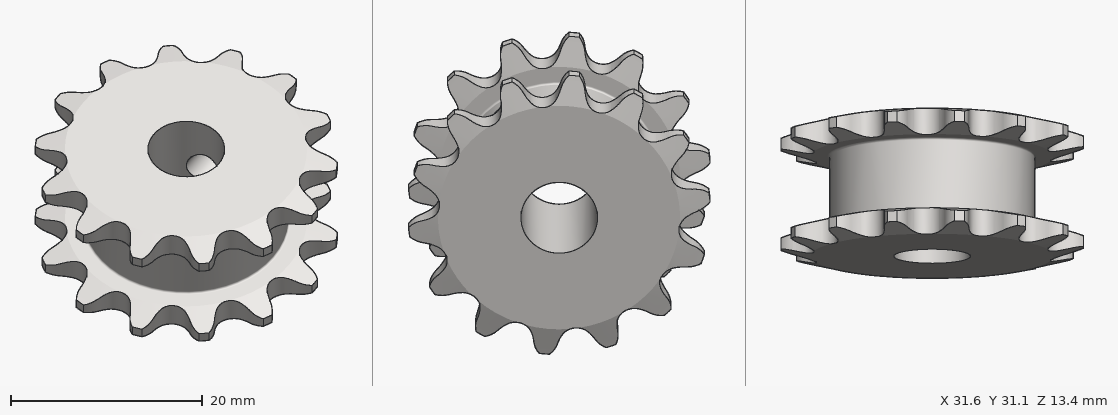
import cadquery as cq
import math

INCH = 25.4
chain_pitch = 0.25 * INCH
roller_diameter = 0.130 * INCH
tooth_count = 14
plate_thickness = 0.110 * INCH
overall_height = 13.38
bore_diameter = 8.0

bevel_width = 0.5 * chain_pitch
bevel_depth = 0.13 * chain_pitch

hub_diameter = 21.43
hub_fillet = 0.22
set_screw_diameter = 4.2

tooth_angle = 360.0 / tooth_count
half_tooth = math.radians(tooth_angle / 2)
pitch_radius = chain_pitch / (2 * math.sin(half_tooth))
tip_radius = chain_pitch * (0.6 + 1 / math.tan(half_tooth)) / 2
face_radius = tip_radius - bevel_width

curve_allowance = 0.0015 * INCH
seat_radius = 0.5025 * roller_diameter + curve_allowance
working_offset = 0.8 * roller_diameter
working_radius = seat_radius + working_offset
topping_offset = 1.4 * roller_diameter
seat_angle = math.radians(35 + 60 / tooth_count)
working_angle = math.radians(18 - 56 / tooth_count)
topping_angle = math.radians(17 - 64 / tooth_count)
flat_length = topping_offset * math.sin(topping_angle) - working_offset * math.sin(working_angle)
topping_radius = (
    working_offset * math.cos(working_angle) + topping_offset * math.cos(topping_angle) - working_radius
)


def step(point, angle, distance):
    """Point reached from a start point along a direction given in radians."""
    return (point[0] + distance * math.cos(angle), point[1] + distance * math.sin(angle))


def mirror(point):
    """Reflection of a point across the Y axis, the centre line of the gap."""
    return (-point[0], point[1])


def tooth_gap():
    """Cutter, as tall as a plate, for the gap centred on +Y; its right side mirrors its left."""
    seat_centre = (0, pitch_radius)
    seat_bottom = (0, pitch_radius - seat_radius)
    seat_end_direction = math.pi + seat_angle
    flat_normal = seat_end_direction - working_angle

    seat_end = step(seat_centre, seat_end_direction, seat_radius)
    working_centre = step(seat_centre, seat_end_direction, -working_offset)
    working_mid = step(working_centre, seat_end_direction - working_angle / 2, working_radius)
    flat_start = step(working_centre, flat_normal, working_radius)
    flat_end = step(flat_start, flat_normal - math.pi / 2, flat_length)

    topping_centre = step(flat_end, flat_normal, topping_radius)
    centre_distance = math.hypot(*topping_centre)
    centre_direction = math.atan2(topping_centre[1], topping_centre[0])
    tip_cosine = (centre_distance**2 + tip_radius**2 - topping_radius**2) / (2 * centre_distance * tip_radius)
    tip_corner = step((0, 0), centre_direction - math.acos(tip_cosine), tip_radius)
    start_direction = flat_normal - math.pi
    end_direction = math.atan2(tip_corner[1] - topping_centre[1], tip_corner[0] - topping_centre[0])
    topping_mid = step(topping_centre, (start_direction + end_direction) / 2, topping_radius)

    clear_of_tip = (tip_corner[0], tip_radius + seat_radius)
    return (
        cq.Workplane("XY")
        .moveTo(*clear_of_tip)
        .lineTo(*tip_corner)
        .threePointArc(topping_mid, flat_end)
        .lineTo(*flat_start)
        .threePointArc(working_mid, seat_end)
        .threePointArc(seat_bottom, mirror(seat_end))
        .threePointArc(mirror(working_mid), mirror(flat_start))
        .lineTo(*mirror(flat_end))
        .threePointArc(mirror(topping_mid), mirror(tip_corner))
        .lineTo(*mirror(clear_of_tip))
        .close()
        .extrude(plate_thickness)
    )


def sprocket_plate():
    """Toothed plate resting on Z = 0, with a tooth on the X axis and both flanks bevelled."""
    plate = (
        cq.Workplane("XZ")
        .polyline([
            (0, 0),
            (face_radius, 0),
            (tip_radius, bevel_depth),
            (tip_radius, plate_thickness - bevel_depth),
            (face_radius, plate_thickness),
            (0, plate_thickness),
        ])
        .close()
        .revolve(360, (0, 0, 0), (0, 1, 0))
    )
    gap = tooth_gap()
    for index in range(tooth_count):
        gap_direction = (index + 0.5) * tooth_angle
        plate = plate.cut(gap.rotate((0, 0, 0), (0, 0, 1), gap_direction - 90))
    return plate


def hub():
    """Round hub joining the plates, flaring out through a small fillet at each plate."""
    hub_radius = hub_diameter / 2
    flare_radius = hub_radius + hub_fillet
    bottom = plate_thickness
    top = overall_height - plate_thickness
    arc_depth = hub_fillet * math.cos(math.pi / 4)
    return (
        cq.Workplane("XZ")
        .moveTo(0, bottom)
        .lineTo(flare_radius, bottom)
        .threePointArc(
            (flare_radius - arc_depth, bottom + hub_fillet - arc_depth), (hub_radius, bottom + hub_fillet)
        )
        .lineTo(hub_radius, top - hub_fillet)
        .threePointArc((flare_radius - arc_depth, top - hub_fillet + arc_depth), (flare_radius, top))
        .lineTo(0, top)
        .close()
        .revolve(360, (0, 0, 0), (0, 1, 0))
    )


def set_screw_hole():
    """Radial hole from the bore out through the +Y side of the hub at mid height."""
    return (
        cq.Workplane("XZ", origin=(0, 0, overall_height / 2))
        .circle(set_screw_diameter / 2)
        .extrude(-hub_diameter)
    )


lower_plate = sprocket_plate()
upper_plate = lower_plate.translate((0, 0, overall_height - plate_thickness))
bore = cq.Workplane("XY").circle(bore_diameter / 2).extrude(overall_height)

body = lower_plate.union(hub()).union(upper_plate)
result = body.cut(bore).cut(set_screw_hole()).translate((0, 0, -overall_height / 2))